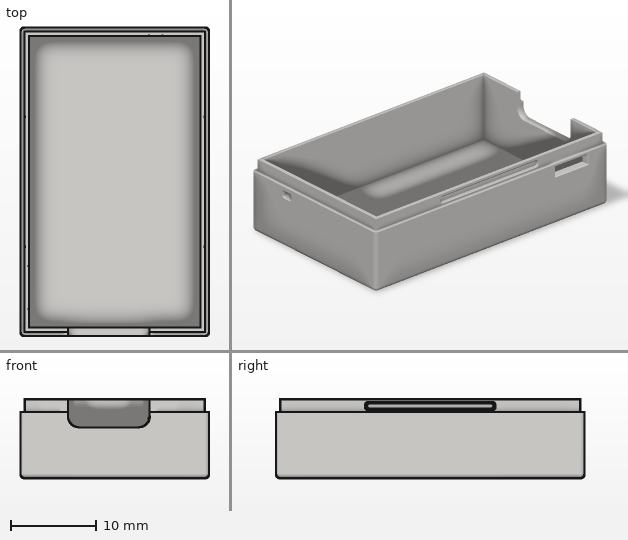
import cadquery as cq

LENGTH_X = 22.2
LENGTH_Y = 36.3
HEIGHT = 9.3

SKIN = 0.5
LIP = 0.5
WALL = SKIN + LIP
LIP_HEIGHT = 1.5
LEDGE_Z = HEIGHT - LIP_HEIGHT
FLOOR = 0.8
EDGE_RADIUS = 0.5
BEVEL_ANGLE = 45

NOTCH_WIDTH = 9.6
NOTCH_CENTER_X = -0.7
NOTCH_BOTTOM_Z = 6.0
NOTCH_RADIUS = 1.3

PORT_WIDTH = 5.3
PORT_HEIGHT = 1.5
PORT_CENTER_Y = -12.45
PORT_CENTER_Z = 6.8
PORT_BEVEL = 0.12

HOLE_WIDTH = 1.6
HOLE_HEIGHT = 1.0
HOLE_CORNER_RADIUS = 0.3
HOLE_CENTER_X = 4.8
HOLE_CENTER_Z = PORT_CENTER_Z

GROOVE_LENGTH = 15.4
GROOVE_WIDTH = 1.0
GROOVE_DEPTH = 0.22
GROOVE_BELOW_RIM = 0.8
GROOVE_CENTER_Z = HEIGHT - GROOVE_BELOW_RIM


def make_tray():
    """Open box with rounded outer edges and a stepped rim."""
    body = cq.Workplane("XY").box(LENGTH_X, LENGTH_Y, LEDGE_Z, centered=(True, True, False))
    body = body.edges("|Z or <Z").fillet(EDGE_RADIUS)
    lip = cq.Workplane("XY").box(
        LENGTH_X - 2 * SKIN, LENGTH_Y - 2 * SKIN, HEIGHT - FLOOR, centered=(True, True, False)
    ).translate((0, 0, FLOOR))
    cavity = cq.Workplane("XY").box(
        LENGTH_X - 2 * WALL, LENGTH_Y - 2 * WALL, HEIGHT, centered=(True, True, False)
    ).translate((0, 0, FLOOR))
    return body.union(lip).cut(cavity)


def make_notch():
    """Cutter for the notch: open at the rim, rounded at its two lower corners."""
    cutter = cq.Workplane("XY").box(NOTCH_WIDTH, WALL, HEIGHT, centered=(True, False, False))
    cutter = cutter.edges("|Y and <Z").fillet(NOTCH_RADIUS)
    return cutter.translate((NOTCH_CENTER_X, -LENGTH_Y / 2, NOTCH_BOTTOM_Z))


def make_port():
    """Cutter for the port: a plain opening that widens at the outer face."""
    outer_face = cq.Workplane("YZ", origin=(-LENGTH_X / 2, PORT_CENTER_Y, PORT_CENTER_Z))
    opening = outer_face.rect(PORT_WIDTH - 2 * PORT_BEVEL, PORT_HEIGHT - 2 * PORT_BEVEL).extrude(WALL)
    mouth = outer_face.rect(PORT_WIDTH, PORT_HEIGHT).extrude(PORT_BEVEL, taper=BEVEL_ANGLE)
    return opening.union(mouth)


def make_hole():
    """Cutter for the rounded rectangular hole through the +Y wall."""
    cutter = cq.Workplane("XY").box(HOLE_WIDTH, WALL, HOLE_HEIGHT)
    cutter = cutter.edges("|Y").fillet(HOLE_CORNER_RADIUS)
    return cutter.translate((HOLE_CENTER_X, (LENGTH_Y - WALL) / 2, HOLE_CENTER_Z))


def make_groove():
    """Cutter for the snap groove in the -X face of the lip."""
    lip_face = cq.Workplane("YZ", origin=(-LENGTH_X / 2 + SKIN, 0, GROOVE_CENTER_Z))
    return lip_face.slot2D(GROOVE_LENGTH, GROOVE_WIDTH).extrude(GROOVE_DEPTH, taper=BEVEL_ANGLE)


groove = make_groove()
result = make_tray()
for cutter in (make_notch(), make_port(), make_hole(), groove, groove.mirror("YZ")):
    result = result.cut(cutter)